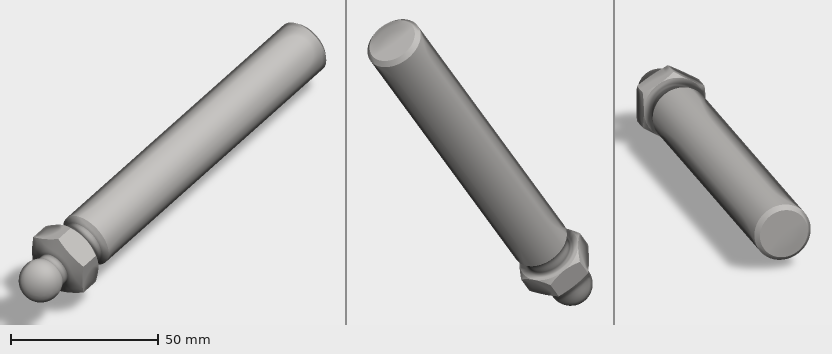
import cadquery as cq
import math

overall_length = 150.0
shank_length = 120.0
shank_start = overall_length - shank_length
hex_back = 25.0
hex_front = 14.5

ball_radius = 7.5
neck_radius = 6.0

hex_across_flats = 22.0
hex_corner_radius = hex_across_flats / math.sqrt(3)
hex_turn_angle = 30.0
hex_front_cone_angle = 20.0
hex_back_chamfer_angle = 40.0

shank_radius = 10.0
shank_front_chamfer = 1.8
shank_end_chamfer = 1.5
undercut_radius = shank_radius - shank_front_chamfer
undercut_fillet = 0.8


def cone_run(radius_change, angle):
    """Axial length of a cone whose side leans by angle from the end plane."""
    return radius_change * math.tan(math.radians(angle))


def revolve_about_y(profile):
    return profile.close().revolve(360, (0, 0, 0), (0, 1, 0))


def make_ball_and_neck():
    neck_start = ball_radius + math.sqrt(ball_radius**2 - neck_radius**2)
    profile = (
        cq.Workplane("XY")
        .threePointArc((ball_radius, ball_radius), (neck_radius, neck_start))
        .lineTo(neck_radius, hex_back)
        .lineTo(0, hex_back)
    )
    return revolve_about_y(profile)


def make_hexagon():
    """Hexagonal prism trimmed by a cone at the front and a chamfer at the back."""
    prism = (
        cq.Workplane("XZ", origin=(0, hex_back, 0))
        .polygon(6, 2 * hex_corner_radius)
        .extrude(hex_back - hex_front)
        .rotate((0, 0, 0), (0, 1, 0), hex_turn_angle)
    )
    back_face_radius = hex_across_flats / 2
    front_run = cone_run(hex_corner_radius - neck_radius, hex_front_cone_angle)
    back_run = cone_run(hex_corner_radius - back_face_radius, hex_back_chamfer_angle)
    envelope = (
        cq.Workplane("XY")
        .moveTo(0, hex_front)
        .lineTo(neck_radius, hex_front)
        .lineTo(hex_corner_radius, hex_front + front_run)
        .lineTo(hex_corner_radius, hex_back - back_run)
        .lineTo(back_face_radius, hex_back)
        .lineTo(0, hex_back)
    )
    return prism.intersect(revolve_about_y(envelope))


def make_shank():
    """Plain cylindrical shank and its undercut, filleted into the back of the hexagon."""
    fillet_mid = undercut_fillet * (1 - math.sqrt(0.5))
    profile = (
        cq.Workplane("XY")
        .moveTo(0, hex_back)
        .lineTo(undercut_radius + undercut_fillet, hex_back)
        .threePointArc(
            (undercut_radius + fillet_mid, hex_back + fillet_mid),
            (undercut_radius, hex_back + undercut_fillet),
        )
        .lineTo(undercut_radius, shank_start)
        .lineTo(shank_radius, shank_start + shank_front_chamfer)
        .lineTo(shank_radius, overall_length - shank_end_chamfer)
        .lineTo(shank_radius - shank_end_chamfer, overall_length)
        .lineTo(0, overall_length)
    )
    return revolve_about_y(profile)


result = make_ball_and_neck().union(make_hexagon()).union(make_shank())